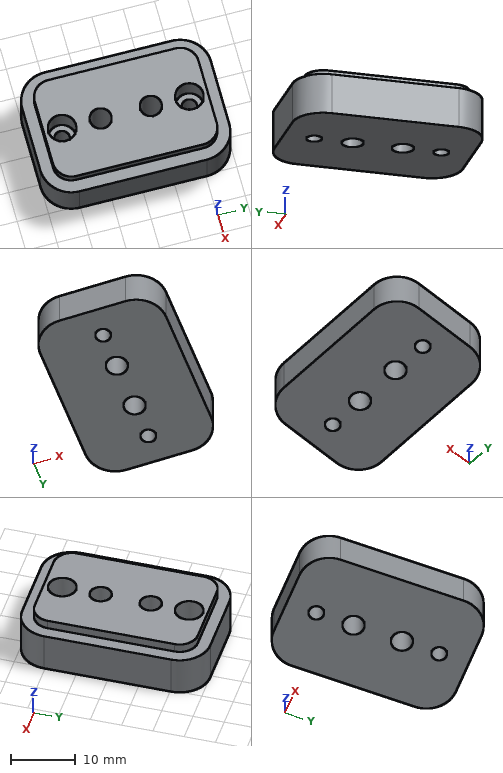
import cadquery as cq

base_width = 20.6
base_length = 30.1
base_height = 6.5
base_corner_radius = 4.9

platform_inset = 2.0
platform_height = 1.5
platform_width = base_width - 2 * platform_inset
platform_length = base_length - 2 * platform_inset
platform_corner_radius = base_corner_radius - platform_inset

total_height = base_height + platform_height

through_hole_diameter = 3.4
through_hole_spacing = 8.0
screw_hole_diameter = 2.4
screw_head_diameter = 4.4
screw_head_depth = 4.0
screw_spacing = base_length - 2 * base_corner_radius


def rounded_block(width, length, height, corner_radius, bottom):
    """Rectangular block with rounded vertical edges, centred on the Z axis."""
    return (
        cq.Workplane("XY", origin=(0, 0, bottom))
        .rect(width, length)
        .extrude(height)
        .edges("|Z")
        .fillet(corner_radius)
    )


def hole_pair(spacing, diameter, depth):
    """Two round cutters along Y, reaching down from the top face."""
    return (
        cq.Workplane("XY", origin=(0, 0, total_height))
        .pushPoints([(0, -spacing / 2), (0, spacing / 2)])
        .circle(diameter / 2)
        .extrude(-depth)
    )


base = rounded_block(base_width, base_length, base_height, base_corner_radius, 0)
platform = rounded_block(
    platform_width, platform_length, platform_height, platform_corner_radius, base_height
)

through_holes = hole_pair(through_hole_spacing, through_hole_diameter, total_height)
screw_holes = hole_pair(screw_spacing, screw_hole_diameter, total_height)
screw_head_recesses = hole_pair(screw_spacing, screw_head_diameter, screw_head_depth)

result = base.union(platform).cut(through_holes).cut(screw_holes).cut(screw_head_recesses)